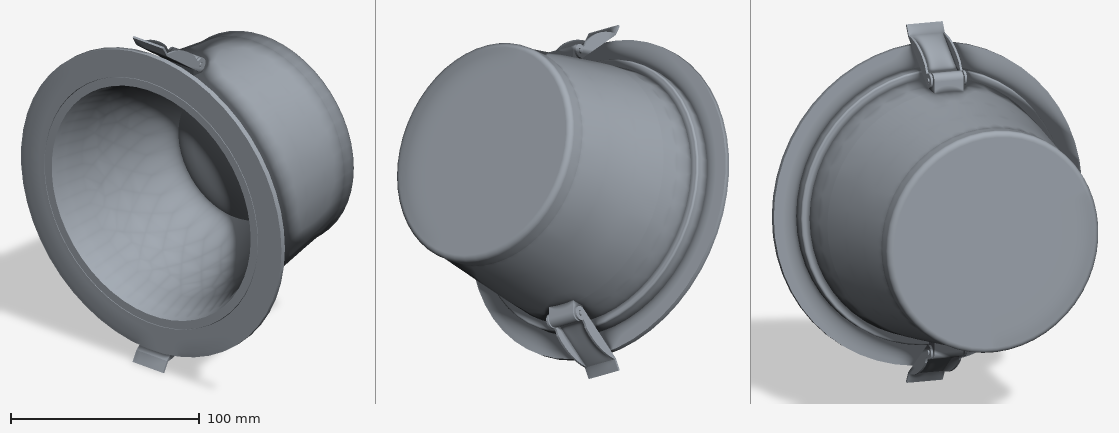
import cadquery as cq
import math


flange_diameter = 175.4
flange_thickness = 3.0
collar_diameter = 150.0
collar_back = 11.0
collar_fillet = 1.0
cone_front_radius = 70.5
cone_back = 31.0
cone_back_radius = 68.2
shoulder_start = 89.0
rear_diameter = 120.52
housing_depth = 99.0
rear_fillet = 3.0

recess_diameter = 144.0
lip_diameter = 143.4
lip_thickness = 3.0
opening_radius = 67.0
lens_radius = 38.2
reflector_depth = 72.0
reflector_wall = 2.0
bowl_bulge = 2.0
lens_dome_height = 6.5

pivot_y = 29.7
pivot_z = 73.9
lug_radius = 3.85
lug_width = 16.6
lug_root_z = 65.0
pin_diameter = 2.41
pin_length = 21.6

clip_width = 20.5
sheet = 1.2
head_radius = 3.85
pin_hole_diameter = 3.0
fold_y = 0.4
fold_z = 91.16
tab_angle = 60.0
clip_tip_y = -2.94
lug_clearance = 0.3
neck_start = (27.5, 76.9)
neck_middle = (25.6, 78.9)
neck_end = (24.8, 80.8)
arm_crown = (15.8, 87.8)


def revolve(profile):
    return profile.close().revolve(360, (0, 0, 0), (0, 1, 0))


def side_profile(x):
    """Plane whose local axes are the part's Y and Z, at the given X."""
    return cq.Workplane("YZ", origin=(x, 0, 0))


def bowl_middle(wall):
    """Middle of the bowl's curved side, `wall` outside its reflecting face."""
    narrowing = opening_radius - lens_radius
    side = math.hypot(narrowing, reflector_depth)
    outward = bowl_bulge + wall
    return (
        (opening_radius + lens_radius) / 2 + outward * reflector_depth / side,
        reflector_depth / 2 + outward * narrowing / side,
    )


def make_reflector():
    bowl_back = (lens_radius + reflector_wall, reflector_depth + reflector_wall)
    rim = (opening_radius, 0)
    lens_edge = (lens_radius, reflector_depth)
    lens_top = (0, reflector_depth - lens_dome_height)
    return revolve(
        cq.Workplane("XY")
        .moveTo(*lens_top)
        .threePointArc(dome_middle(), lens_edge)
        .threePointArc(bowl_middle(0), rim)
        .lineTo(lip_diameter / 2, 0)
        .lineTo(lip_diameter / 2, lip_thickness)
        .lineTo(opening_radius + reflector_wall, lip_thickness)
        .threePointArc(bowl_middle(reflector_wall), bowl_back)
        .lineTo(0, reflector_depth + reflector_wall)
    )


def dome_middle():
    """Point of the spherical lens halfway in angle between its top and its edge."""
    ball = (lens_radius**2 + lens_dome_height**2) / (2 * lens_dome_height)
    half = math.asin(lens_radius / ball) / 2
    top = reflector_depth - lens_dome_height
    return (ball * math.sin(half), top + ball * (1 - math.cos(half)))


def make_lug():
    lug = (
        side_profile(-lug_width / 2)
        .moveTo(pivot_y - lug_radius, lug_root_z)
        .lineTo(pivot_y - lug_radius, pivot_z)
        .threePointArc((pivot_y, pivot_z + lug_radius), (pivot_y + lug_radius, pivot_z))
        .lineTo(pivot_y + lug_radius, lug_root_z)
        .close()
        .extrude(lug_width)
    )
    pin = side_profile(-pin_length / 2).center(pivot_y, pivot_z).circle(pin_diameter / 2).extrude(pin_length)
    return lug.union(pin)


def make_housing():
    body = revolve(
        cq.Workplane("XY")
        .moveTo(0, 0)
        .lineTo(flange_diameter / 2, 0)
        .lineTo(flange_diameter / 2, flange_thickness)
        .lineTo(collar_diameter / 2, flange_thickness)
        .lineTo(collar_diameter / 2, collar_back - collar_fillet)
        .radiusArc((collar_diameter / 2 - collar_fillet, collar_back), -collar_fillet)
        .lineTo(cone_front_radius, collar_back)
        .lineTo(cone_back_radius, cone_back)
        .lineTo(rear_diameter / 2, shoulder_start)
        .lineTo(rear_diameter / 2, housing_depth - rear_fillet)
        .radiusArc((rear_diameter / 2 - rear_fillet, housing_depth), -rear_fillet)
        .lineTo(0, housing_depth)
    )
    bowl_back = (lens_radius + reflector_wall, reflector_depth + reflector_wall)
    seat = revolve(
        cq.Workplane("XY")
        .moveTo(0, 0)
        .lineTo(recess_diameter / 2, 0)
        .lineTo(recess_diameter / 2, lip_thickness)
        .lineTo(opening_radius + reflector_wall, lip_thickness)
        .threePointArc(bowl_middle(reflector_wall), bowl_back)
        .lineTo(0, reflector_depth + reflector_wall)
    )
    upper_lug = make_lug()
    lower_lug = upper_lug.rotate((0, 0, 0), (0, 1, 0), 180)
    return body.union(upper_lug).union(lower_lug).cut(seat)


def make_clip(turn):
    """Folded sheet clip on the upper lug, turned about the optical axis by `turn` degrees."""
    reach = math.hypot(pivot_y - fold_y, fold_z - pivot_z)
    slope = math.atan2(fold_z - pivot_z, pivot_y - fold_y) + math.asin(head_radius / reach)
    tab = math.radians(tab_angle)
    bisector = (slope + tab) / 2
    miter = sheet / math.cos((tab - slope) / 2)
    fold_outside = (fold_y, fold_z)
    fold_inside = (fold_y + miter * math.sin(bisector), fold_z + miter * math.cos(bisector))
    tip_outside = (clip_tip_y, fold_z + (fold_y - clip_tip_y) * math.tan(tab))
    tip_inside = (tip_outside[0] + sheet * math.sin(tab), tip_outside[1] + sheet * math.cos(tab))

    head_bottom = (pivot_y - head_radius * math.sin(slope), pivot_z - head_radius * math.cos(slope))
    strip_start = pivot_y - lug_radius - lug_clearance
    strip_drop = (strip_start - fold_y) * math.tan(slope)
    strip = (
        side_profile(-clip_width / 2)
        .polyline([
            tip_outside,
            fold_outside,
            (strip_start, fold_z - strip_drop),
            (strip_start, fold_z - strip_drop + sheet / math.cos(slope)),
            fold_inside,
            tip_inside,
        ])
        .close()
        .extrude(clip_width)
    )

    clip = strip
    for x in (-clip_width / 2, clip_width / 2 - sheet):
        blade = (
            side_profile(x)
            .moveTo(*fold_outside)
            .lineTo(*head_bottom)
            .lineTo(pivot_y, pivot_z)
            .lineTo(*neck_start)
            .threePointArc(neck_middle, neck_end)
            .threePointArc(arm_crown, fold_inside)
            .close()
            .extrude(sheet)
        )
        head = side_profile(x).center(pivot_y, pivot_z).circle(head_radius).extrude(sheet)
        hole = side_profile(x).center(pivot_y, pivot_z).circle(pin_hole_diameter / 2).extrude(sheet)
        clip = clip.union(blade.union(head).cut(hole))
    return clip.rotate((0, 0, 0), (0, 1, 0), turn)


housing = make_housing()
reflector = make_reflector()
clips = [make_clip(turn) for turn in (0, 180)]

result = cq.Compound.makeCompound([housing.val(), reflector.val(), *[clip.val() for clip in clips]])